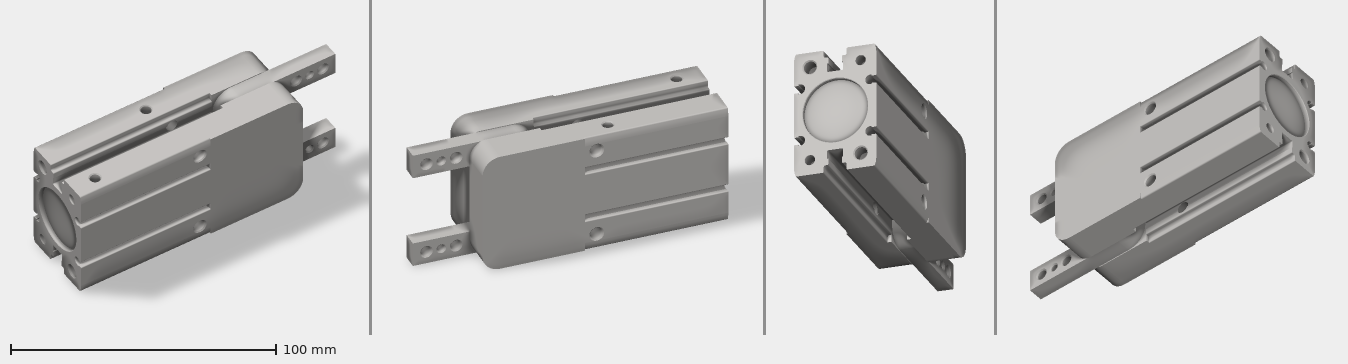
import cadquery as cq
import math

HOUSING_WIDTH = 33.0
HOUSING_HEIGHT = 50.0
HOUSING_LENGTH = 99.5
HEAD_START = 58.1
NOSE_RADIUS = 7.0

EDGE_WIDTH = 1.1
EDGE_HEIGHT = 3.4
EDGE_SMALL_RADIUS = 0.6

FINGER_SLOT_START = 71.1
FINGER_WIDTH = 6.4

LIP_RADIUS = 0.4

RECESS_WIDTH = 9.2
RECESS_DEPTH = 3.0
RECESS_FILLET = 0.7
NECK_WIDTH = 5.5
POCKET_WIDTH = FINGER_WIDTH
POCKET_TOP_DEPTH = 5.5
POCKET_FLOOR_DEPTH = 9.0
POCKET_FILLET = 0.4

GROOVE_Z = 10.5
GROOVE_DEPTH = 4.4
GROOVE_WIDTH = 3.9
GROOVE_MOUTH_WIDTH = 3.0
GROOVE_MOUTH_DEPTH = 1.8

BORE_DIAMETER = 26.0
BORE_DEPTH = 2.0
BORE_CHAMFER = 0.2

HOLE_X = 10.2
REAR_HOLE_Z = 19.0
REAR_HOLE_DEPTH = 6.1
REAR_LARGE_DIAMETER = 5.0
REAR_LARGE_CHAMFER = 0.5
REAR_SMALL_DIAMETER = 4.0
REAR_SMALL_CHAMFER = 0.1
TOP_HOLE_DIAMETER = 4.2
TOP_HOLE_CHAMFER = 0.43
TOP_HOLE_DEPTH = 6.1
TOP_HOLE_REAR_Y = 10.4
TOP_HOLE_FRONT_Y = 46.3
DRILL_POINT_ANGLE = 118.0
SIDE_HOLE_DIAMETER = 5.0
SIDE_HOLE_CHAMFER = 0.5
SIDE_HOLE_Y = 53.3
SIDE_HOLE_Z = 18.6

FINGER_TIP_Y = 122.6
FINGER_OUTER_Z = 24.6
FINGER_INNER_Z = 14.6
FINGER_REAR_Y = 71.7
FINGER_REAR_RADIUS = 8.1
FINGER_HOLE_PITCH = 6.0
FINGER_HOLE_TIP_DISTANCE = 5.5
FINGER_LARGE_DIAMETER = 4.2
FINGER_SMALL_DIAMETER = 3.0
FINGER_HOLE_CHAMFER = 0.5

HALF_WIDTH = HOUSING_WIDTH / 2
HALF_HEIGHT = HOUSING_HEIGHT / 2


def mirrored(cutter, *planes):
    """The cutter together with its mirror images in each of the given planes."""
    for plane in planes:
        cutter = cutter.union(cutter.mirror(plane))
    return cutter


def along_y(profile, start, end):
    """Solid with an XZ profile, drawn on an "XZ" workplane, from Y = start to Y = end."""
    return profile.extrude(start - end).translate((0, start, 0))


def rim_chamfer(rim, direction, diameter, chamfer):
    """Cone that bevels the rim of a hole; rim is its centre, direction points into the part."""
    radius = diameter / 2
    return cq.Solid.makeCone(radius + chamfer, radius, chamfer, cq.Vector(rim), cq.Vector(direction))


def blind_hole(rim, direction, diameter, depth, chamfer):
    """Cutter for a drilled hole with a bevelled rim and a conical bottom."""
    radius = diameter / 2
    rim_point = cq.Vector(rim)
    axis = cq.Vector(direction)
    point_length = radius / math.tan(math.radians(DRILL_POINT_ANGLE / 2))
    barrel = cq.Solid.makeCylinder(radius, depth, rim_point, axis)
    point = cq.Solid.makeCone(radius, 0, point_length, rim_point + axis * depth, axis)
    bevel = rim_chamfer(rim, direction, diameter, chamfer)
    return cq.Workplane(barrel).union(cq.Workplane(point)).union(cq.Workplane(bevel))


def cross_hole(y, z, width, diameter, chamfer):
    """Cutter for a hole along X through a body of the given width, bevelled at both rims."""
    barrel = cq.Solid.makeCylinder(diameter / 2, width, cq.Vector(-width / 2, y, z), cq.Vector(1, 0, 0))
    cutter = cq.Workplane(barrel)
    for side in (-1, 1):
        bevel = rim_chamfer((side * width / 2, y, z), (-side, 0, 0), diameter, chamfer)
        cutter = cutter.union(cq.Workplane(bevel))
    return cutter


def housing_block():
    """Outer block with its rounded nose."""
    profile = cq.Workplane("XZ").rect(HOUSING_WIDTH, HOUSING_HEIGHT)
    block = along_y(profile, 0, HOUSING_LENGTH)
    return block.edges(">Y and |X").fillet(NOSE_RADIUS)


def edge_rounding():
    """Material outside the rounded edge at +X, +Z: two tangent arcs and the square corner."""
    rise = EDGE_HEIGHT - EDGE_SMALL_RADIUS
    large_radius = (EDGE_WIDTH**2 + rise**2 - EDGE_SMALL_RADIUS**2) / (2 * (EDGE_WIDTH - EDGE_SMALL_RADIUS))
    large_center = (HALF_WIDTH - large_radius, HALF_HEIGHT - EDGE_HEIGHT)
    small_center = (HALF_WIDTH - EDGE_WIDTH, HALF_HEIGHT - EDGE_SMALL_RADIUS)
    joint_angle = math.atan2(rise, large_radius - EDGE_WIDTH)

    def on_arc(center, radius, angle):
        return (center[0] + radius * math.cos(angle), center[1] + radius * math.sin(angle))

    profile = (
        cq.Workplane("XZ")
        .moveTo(HALF_WIDTH, HALF_HEIGHT - EDGE_HEIGHT)
        .threePointArc(
            on_arc(large_center, large_radius, joint_angle / 2),
            on_arc(large_center, large_radius, joint_angle),
        )
        .threePointArc(
            on_arc(small_center, EDGE_SMALL_RADIUS, (joint_angle + math.pi / 2) / 2),
            on_arc(small_center, EDGE_SMALL_RADIUS, math.pi / 2),
        )
        .lineTo(HALF_WIDTH, HALF_HEIGHT)
        .close()
    )
    return along_y(profile, 0, HEAD_START)


def sensor_slot():
    """Stepped slot in the top: wide recess, narrow neck and undercut pocket."""
    recess_half = RECESS_WIDTH / 2
    neck_half = NECK_WIDTH / 2
    pocket_half = POCKET_WIDTH / 2
    recess_floor = HALF_HEIGHT - RECESS_DEPTH
    pocket_top = HALF_HEIGHT - POCKET_TOP_DEPTH
    pocket_floor = HALF_HEIGHT - POCKET_FLOOR_DEPTH
    profile = (
        cq.Workplane("XZ")
        .moveTo(0, pocket_floor)
        .lineTo(pocket_half - POCKET_FILLET, pocket_floor)
        .tangentArcPoint((POCKET_FILLET, POCKET_FILLET))
        .lineTo(pocket_half, pocket_top)
        .lineTo(neck_half, pocket_top)
        .lineTo(neck_half, recess_floor - LIP_RADIUS)
        .tangentArcPoint((LIP_RADIUS, LIP_RADIUS))
        .lineTo(recess_half - RECESS_FILLET, recess_floor)
        .tangentArcPoint((RECESS_FILLET, RECESS_FILLET))
        .lineTo(recess_half, HALF_HEIGHT - LIP_RADIUS)
        .tangentArcPoint((LIP_RADIUS, LIP_RADIUS))
        .lineTo(0, HALF_HEIGHT)
        .close()
    )
    return mirrored(along_y(profile, 0, FINGER_SLOT_START), "YZ")


def side_groove():
    """Groove in the +X side: mouth with rounded lips, then a wider channel with a round bottom."""
    channel_half = GROOVE_WIDTH / 2
    mouth_half = GROOVE_MOUTH_WIDTH / 2
    channel_x = HALF_WIDTH - GROOVE_MOUTH_DEPTH
    bottom_x = HALF_WIDTH - GROOVE_DEPTH
    half_profile = (
        cq.Workplane("XZ")
        .moveTo(bottom_x + channel_half, 0)
        .lineTo(bottom_x, 0)
        .radiusArc((bottom_x + channel_half, channel_half), channel_half)
        .lineTo(channel_x, channel_half)
        .lineTo(channel_x, mouth_half)
        .lineTo(HALF_WIDTH - LIP_RADIUS, mouth_half)
        .tangentArcPoint((LIP_RADIUS, LIP_RADIUS))
        .lineTo(HALF_WIDTH, 0)
        .close()
    )
    groove = mirrored(along_y(half_profile, 0, HEAD_START), "XY")
    return groove.translate((0, 0, GROOVE_Z))


def finger_slot():
    """Slot through the head from top to bottom, open at the nose."""
    profile = cq.Workplane("XZ").rect(FINGER_WIDTH, HOUSING_HEIGHT)
    return along_y(profile, FINGER_SLOT_START, HOUSING_LENGTH)


def rear_recess():
    """Shallow round recess in the rear face with a bevelled rim."""
    recess = along_y(cq.Workplane("XZ").circle(BORE_DIAMETER / 2), 0, BORE_DEPTH)
    bevel = rim_chamfer((0, 0, 0), (0, 1, 0), BORE_DIAMETER, BORE_CHAMFER)
    return recess.union(cq.Workplane(bevel))


def housing_holes():
    """Cutters for all drilled holes of the housing."""
    holes = []
    for side in (-1, 1):
        holes.append(blind_hole(
            (side * HOLE_X, 0, -side * REAR_HOLE_Z), (0, 1, 0),
            REAR_LARGE_DIAMETER, REAR_HOLE_DEPTH, REAR_LARGE_CHAMFER,
        ))
        holes.append(blind_hole(
            (side * HOLE_X, 0, side * REAR_HOLE_Z), (0, 1, 0),
            REAR_SMALL_DIAMETER, REAR_HOLE_DEPTH, REAR_SMALL_CHAMFER,
        ))
        holes.append(cross_hole(
            SIDE_HOLE_Y, side * SIDE_HOLE_Z, HOUSING_WIDTH, SIDE_HOLE_DIAMETER, SIDE_HOLE_CHAMFER,
        ))
    for x, y in ((-HOLE_X, TOP_HOLE_FRONT_Y), (HOLE_X, TOP_HOLE_REAR_Y)):
        holes.append(blind_hole(
            (x, y, HALF_HEIGHT), (0, 0, -1), TOP_HOLE_DIAMETER, TOP_HOLE_DEPTH, TOP_HOLE_CHAMFER,
        ))
    return holes


def make_housing():
    """Gripper housing."""
    cutters = [
        mirrored(edge_rounding(), "YZ", "XY"),
        mirrored(sensor_slot(), "XY"),
        mirrored(side_groove(), "YZ", "XY"),
        finger_slot(),
        rear_recess(),
        *housing_holes(),
    ]
    body = housing_block()
    for cutter in cutters:
        body = body.cut(cutter)
    return body


def make_finger(side):
    """Gripper finger; side is 1 for the upper finger and -1 for the lower one."""
    height = FINGER_OUTER_Z - FINGER_INNER_Z
    middle_z = (FINGER_OUTER_Z + FINGER_INNER_Z) / 2
    profile = cq.Workplane("XZ").center(0, middle_z).rect(FINGER_WIDTH, height)
    bar = along_y(profile, FINGER_REAR_Y, FINGER_TIP_Y)
    bar = bar.edges("<Y and >Z").fillet(FINGER_REAR_RADIUS)
    hole_diameters = (FINGER_LARGE_DIAMETER, FINGER_SMALL_DIAMETER, FINGER_LARGE_DIAMETER)
    for index, diameter in enumerate(hole_diameters):
        hole_y = FINGER_TIP_Y - FINGER_HOLE_TIP_DISTANCE - index * FINGER_HOLE_PITCH
        bar = bar.cut(cross_hole(hole_y, middle_z, FINGER_WIDTH, diameter, FINGER_HOLE_CHAMFER))
    return bar if side > 0 else bar.mirror("XY")


housing = make_housing()
fingers = [make_finger(side) for side in (1, -1)]

result = cq.Compound.makeCompound([housing.val(), *[finger.val() for finger in fingers]])